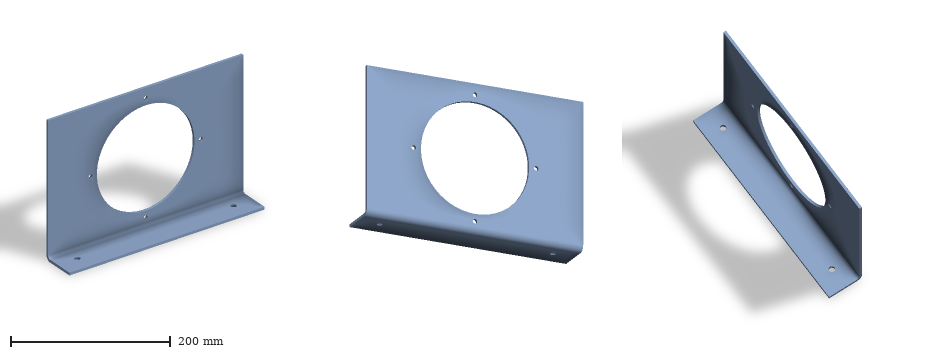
import cadquery as cq

length = 300.0
height = 200.0
foot_depth = 50.0
thickness = 4.0
inner_bend_radius = 4.2
outer_bend_radius = inner_bend_radius + thickness

opening_diameter = 150.0
opening_height = height / 2
screw_hole_diameter = 6.0
screw_circle_radius = 85.0
screw_count = 4

mount_hole_diameter = 8.0
mount_hole_spacing = 240.0
mount_hole_x = foot_depth / 2


def bent_sheet():
    """L-shaped sheet, centred along Y, with a concentric rounded bend."""
    sheet = (
        cq.Workplane("XZ")
        .polyline([
            (0, 0),
            (foot_depth, 0),
            (foot_depth, thickness),
            (thickness, thickness),
            (thickness, height),
            (0, height),
        ])
        .close()
        .extrude(length / 2, both=True)
    )
    outer_corner = cq.selectors.NearestToPointSelector((0, 0, 0))
    inner_corner = cq.selectors.NearestToPointSelector((thickness, 0, thickness))
    sheet = sheet.edges("|Y").edges(inner_corner).fillet(inner_bend_radius)
    return sheet.edges("|Y").edges(outer_corner).fillet(outer_bend_radius)


def upright_cutters():
    """Large central opening and the ring of screw holes around it."""
    plane = cq.Workplane("YZ", origin=(0, 0, opening_height))
    opening = plane.circle(opening_diameter / 2).extrude(thickness)
    screw_holes = (
        plane.polarArray(screw_circle_radius, 0, 360, screw_count)
        .circle(screw_hole_diameter / 2)
        .extrude(thickness)
    )
    return opening.union(screw_holes)


def foot_cutters():
    """Pair of mounting holes through the foot."""
    return (
        cq.Workplane("XY")
        .pushPoints([(mount_hole_x, side * mount_hole_spacing / 2) for side in (-1, 1)])
        .circle(mount_hole_diameter / 2)
        .extrude(thickness)
    )


result = bent_sheet().cut(upright_cutters()).cut(foot_cutters())